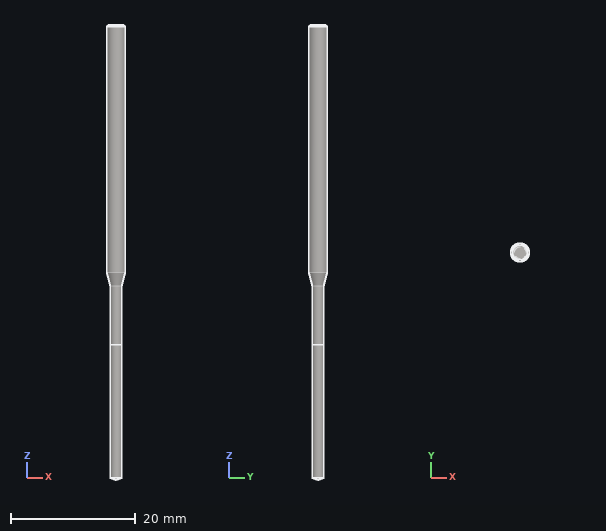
import cadquery as cq
import math

overall_length = 73.0

shank_diameter = 3.0
shank_length = 39.7
end_chamfer = 0.3

cone_length = 2.1
neck_diameter = 1.9

cutter_diameter = neck_diameter
cutter_length = 21.7
point_angle = 140.0

shank_radius = shank_diameter / 2
neck_radius = neck_diameter / 2
cutter_radius = cutter_diameter / 2
point_height = cutter_radius / math.tan(math.radians(point_angle / 2))

shank_bottom = overall_length - shank_length
cone_bottom = shank_bottom - cone_length


def revolve_about_z(outline):
    """Turn a closed outline of (radius, height) points about the Z axis."""
    return cq.Workplane("XZ").polyline(outline).close().revolve(360, (0, 0, 0), (0, 1, 0))


def make_shank():
    """Chamfered shank with the cone and neck that run down to the cutting part."""
    outline = [
        (0, cutter_length),
        (neck_radius, cutter_length),
        (neck_radius, cone_bottom),
        (shank_radius, shank_bottom),
        (shank_radius, overall_length - end_chamfer),
        (shank_radius - end_chamfer, overall_length),
        (0, overall_length),
    ]
    return revolve_about_z(outline)


def make_cutter():
    """Plain cylindrical cutting part with a conical point."""
    outline = [
        (0, 0),
        (cutter_radius, point_height),
        (cutter_radius, cutter_length),
        (0, cutter_length),
    ]
    return revolve_about_z(outline)


shank = make_shank()
cutter = make_cutter()

result = cq.Compound.makeCompound([shank.val(), cutter.val()])